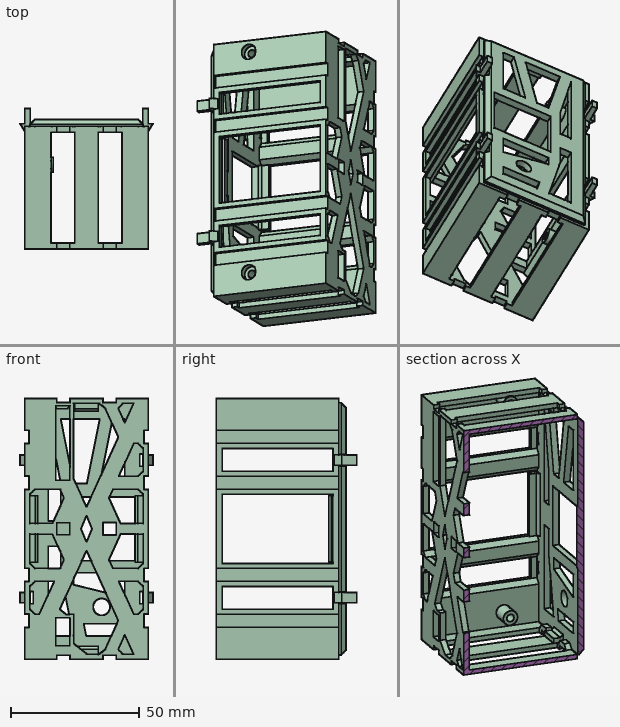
import cadquery as cq

FRAME_WIDTH = 48.3
FRAME_DEPTH = 48.0
FRAME_HEIGHT = 102.0
WALL = 2.0
PLATE = 2.5
HALF_WIDTH = FRAME_WIDTH / 2
HALF_HEIGHT = FRAME_HEIGHT / 2
CAVITY_HALF_WIDTH = HALF_WIDTH - WALL
CAVITY_HALF_HEIGHT = HALF_HEIGHT - WALL

GROOVE_WIDTH = 5.1
GROOVE_DEPTH = 1.6
RIDGE_RISE = 2.0
RAIL_BASE = GROOVE_WIDTH + 2 * RIDGE_RISE
SIDE_RAIL_Z = (18.0, 35.9)
END_GROOVE_X = 9.0
END_RIDGE_X = 9.5
END_RIDGE_CREST = 4.2

BACK_MARGIN = 2.4
WINDOW_LENGTH = FRAME_DEPTH - PLATE - BACK_MARGIN
WINDOW_CENTRE_Y = PLATE + WINDOW_LENGTH / 2
END_SLOT_X = 9.2
END_SLOT_WIDTH = 9.2

STRUT_SLOPE = 0.455
V_OFFSET = 3.9
OUTER_OFFSET = 3.3
MIDDLE_OFFSET = 14.3
V_SIDE_OFFSET = 28.7
CORNER_OFFSET = 33.8
NECK_Z = 47.1
V_TOP_HALF_WIDTH = 4.8
DIAMOND_HALF_WIDTH = 2.1
DIAMOND_HALF_HEIGHT = 5.05
CROSSBAR_HALF_HEIGHT = 2.1
SQUARE_HEIGHT = 4.8

CLOSED_EDGE_X = -5.0
CLOSED_LEFT_X = -14.0
UPPER_CLOSED_Z = 19.0
LOWER_CLOSED_Z = -33.4
LOWER_EDGE_END_Z = -44.8
BEVEL_END_X = -7.9
BEVEL_SLOPE = 0.79
UPRIGHT_SLOT_X = (-12.0, -6.5)
UPPER_SLOT_Z = (19.0, 48.1)
LOWER_SLOT_Z = (-45.7, -34.8)

SCREW_Y = 33.0
SCREW_Z = (-42.9, 46.4)
SCREW_HEAD_DIAMETER = 6.0
SCREW_HEAD_DEPTH = 3.0
SCREW_DIAMETER = 3.0
BOSS_DIAMETER = 6.0
BOSS_END_X = -12.9

CLIP_Z = 26.85
CLIP_HEIGHT = 4.1
CLIP_THICKNESS = 2.25
CLIP_TOP_Y = 55.0
BARB_TIP_X = 26.0
BARB_TOP_Y = FRAME_DEPTH + 1.1
BARB_LOW_Y = FRAME_DEPTH - 1.9

LID_HALF_WIDTH = 22.1
LID_HALF_HEIGHT = 49.3
LID_THICKNESS = 2.75
LID_BACK_Y = FRAME_DEPTH + LID_THICKNESS
LID_CHAMFER = 1.95
CLIP_SLOT_HEIGHT = 4.7
CLIP_SLOT_X = 20.8

BORDER_X = 14.9
LID_HIGH_Z = 42.9
LID_LOW_Z = -41.8
SPINE_LEFT_X = -10.1
SPINE_RIGHT_X = -5.0
LID_STRUT_SLOPE = 0.2
UPPER_STRUT_FOOT_Z = 17.8
RIGHT_STRUT_FOOT_X = (0.1, 5.2)
LOWER_STRUT_HEAD_Z = -17.2
LEFT_BRIDGE_Z = (-6.8, 3.1)
MIDDLE_OPENING_X = (-6.0, 18.9)
MIDDLE_OPENING_HALF_HEIGHT = 12.4
HOLE_PANEL_LEFT_Z = -21.8
HOLE_PANEL_RIGHT_Z = -26.7
HOLE_PANEL_LOW_Z = -37.1
LID_HOLE_X = 5.9
LID_HOLE_Z = -30.5
LID_HOLE_DIAMETER = 6.5

ARM_THICKNESS = 2.0
ARM_TIP_Y = FRAME_DEPTH - 4.0
ARM_GUSSET = 1.15
LUG_REACH = 0.5
LUG_PEAK_Y = ARM_TIP_Y + 0.95
SIDE_ARM_LENGTH = 26.0
END_ARM_LENGTH = 9.2


def prism(points, y_start, y_end):
    """Extrude an (x, z) outline along Y."""
    outline = cq.Workplane("XZ", origin=(0, y_start, 0)).polyline(points).close()
    return outline.extrude(y_start - y_end)


def box(x, y, z):
    """Box spanning three ranges, each given by its two ends in either order."""
    corner = (min(x), min(y), min(z))
    size = (abs(x[1] - x[0]), abs(y[1] - y[0]), abs(z[1] - z[0]))
    return cq.Workplane().box(*size, centered=False).translate(corner)


def flip_x(points):
    return [(-x, z) for x, z in points]


def flip_z(points):
    return [(x, -z) for x, z in points]


FULL_DEPTH = (0, FRAME_DEPTH)


def groove_profile(centre):
    """Corners as (position along the wall, depth below the outer face)."""
    low = centre - GROOVE_WIDTH / 2
    high = centre + GROOVE_WIDTH / 2
    return [(low, 0), (high, 0), (high, GROOVE_DEPTH), (low, GROOVE_DEPTH)]


def ridge_profile(centre, crest):
    half_base = crest / 2 + RIDGE_RISE
    return [
        (centre - half_base, WALL),
        (centre + half_base, WALL),
        (centre + crest / 2, WALL + RIDGE_RISE),
        (centre - crest / 2, WALL + RIDGE_RISE),
    ]


def along_side_wall(profile, side):
    return prism([(side * (HALF_WIDTH - d), a) for a, d in profile], *FULL_DEPTH)


def along_end_wall(profile, end):
    return prism([(a, end * (HALF_HEIGHT - d)) for a, d in profile], *FULL_DEPTH)


def corner_block(side, end):
    """Thick stretch of side wall between the outermost rail and the end wall."""
    x = (side * (HALF_WIDTH - WALL - RIDGE_RISE), side * (HALF_WIDTH - WALL))
    return box(x, FULL_DEPTH, (end * (SIDE_RAIL_Z[1] + GROOVE_WIDTH / 2), end * HALF_HEIGHT))


def make_shell():
    shell = box((-HALF_WIDTH, HALF_WIDTH), FULL_DEPTH, (-HALF_HEIGHT, HALF_HEIGHT))
    cavity = box(
        (-CAVITY_HALF_WIDTH, CAVITY_HALF_WIDTH),
        (PLATE, FRAME_DEPTH),
        (-CAVITY_HALF_HEIGHT, CAVITY_HALF_HEIGHT),
    )
    shell = shell.cut(cavity)
    for first in (-1, 1):
        for second in (-1, 1):
            shell = shell.union(corner_block(first, second))
            for rail_z in SIDE_RAIL_Z:
                ridge = ridge_profile(second * rail_z, GROOVE_WIDTH)
                shell = shell.union(along_side_wall(ridge, first))
                shell = shell.cut(along_side_wall(groove_profile(second * rail_z), first))
            end_ridge = ridge_profile(second * END_RIDGE_X, END_RIDGE_CREST)
            shell = shell.union(along_end_wall(end_ridge, first))
            shell = shell.cut(along_end_wall(groove_profile(second * END_GROOVE_X), first))
    return shell


def cut_windows(body):
    """Side windows fill the gaps between rails; end slots follow the end grooves."""
    middle_height = 2 * SIDE_RAIL_Z[0] - RAIL_BASE
    outer_height = SIDE_RAIL_Z[1] - SIDE_RAIL_Z[0] - RAIL_BASE
    outer_z = sum(SIDE_RAIL_Z) / 2
    for z, height in ((0, middle_height), (outer_z, outer_height), (-outer_z, outer_height)):
        window = cq.Workplane().box(2 * FRAME_WIDTH, WINDOW_LENGTH, height)
        body = body.cut(window.translate((0, WINDOW_CENTRE_Y, z)))
    for x in (-END_SLOT_X, END_SLOT_X):
        slot = cq.Workplane().box(END_SLOT_WIDTH, WINDOW_LENGTH, 2 * FRAME_HEIGHT)
        body = body.cut(slot.translate((x, WINDOW_CENTRE_Y, 0)))
    return body


def rising(offset, z):
    return (offset + STRUT_SLOPE * z, z)


def falling(offset, z):
    return (offset - STRUT_SLOPE * z, z)


def crossing(rising_offset, falling_offset):
    """Point where a rising and a falling strut edge meet."""
    return rising(rising_offset, (falling_offset - rising_offset) / (2 * STRUT_SLOPE))


def plate_cutter(points):
    return prism(points, 0, PLATE)


def v_opening():
    """Large opening above the crossing of the struts, before its left side is closed."""
    right_half = [
        (0, V_OFFSET / STRUT_SLOPE),
        crossing(-V_OFFSET, V_SIDE_OFFSET),
        falling(V_SIDE_OFFSET, NECK_Z),
        (V_TOP_HALF_WIDTH, CAVITY_HALF_HEIGHT),
    ]
    return right_half + flip_x(right_half[:0:-1])


def corner_triangle():
    neck = falling(CORNER_OFFSET, NECK_Z)
    return [
        crossing(-V_OFFSET, CORNER_OFFSET),
        rising(-V_OFFSET, CAVITY_HALF_HEIGHT),
        (neck[0] + CAVITY_HALF_HEIGHT - NECK_Z, CAVITY_HALF_HEIGHT),
        neck,
    ]


def rail_gap_opening():
    """Opening beside the outer window; its bevels follow the ridge flanks."""
    low = SIDE_RAIL_Z[0] + GROOVE_WIDTH / 2
    high = SIDE_RAIL_Z[1] - GROOVE_WIDTH / 2
    return [
        rising(OUTER_OFFSET, low),
        (CAVITY_HALF_WIDTH - RIDGE_RISE, low),
        (CAVITY_HALF_WIDTH, low + RIDGE_RISE),
        (CAVITY_HALF_WIDTH, high - RIDGE_RISE),
        (CAVITY_HALF_WIDTH - RIDGE_RISE, high),
        rising(OUTER_OFFSET, high),
    ]


def middle_opening():
    """Opening beside the middle window, above the central crossbar."""
    high = SIDE_RAIL_Z[0] - GROOVE_WIDTH / 2
    return [
        falling(MIDDLE_OFFSET, CROSSBAR_HALF_HEIGHT),
        (CAVITY_HALF_WIDTH, CROSSBAR_HALF_HEIGHT),
        (CAVITY_HALF_WIDTH, high - RIDGE_RISE),
        (CAVITY_HALF_WIDTH - RIDGE_RISE, high),
        rising(OUTER_OFFSET, high),
        crossing(OUTER_OFFSET, MIDDLE_OFFSET),
    ]


def diamond():
    return [
        (DIAMOND_HALF_WIDTH, 0),
        (0, DIAMOND_HALF_HEIGHT),
        (-DIAMOND_HALF_WIDTH, 0),
        (0, -DIAMOND_HALF_HEIGHT),
    ]


def upper_v_cutter():
    closed = box((CLOSED_LEFT_X, CLOSED_EDGE_X), (0, PLATE), (UPPER_CLOSED_Z, HALF_HEIGHT))
    return plate_cutter(v_opening()).cut(closed)


def lower_v_cutter():
    bottom_z = -CAVITY_HALF_HEIGHT
    closed = [
        (CLOSED_LEFT_X, LOWER_CLOSED_Z + (BEVEL_END_X - CLOSED_LEFT_X) * BEVEL_SLOPE),
        (BEVEL_END_X, LOWER_CLOSED_Z),
        (CLOSED_EDGE_X, LOWER_CLOSED_Z),
        (CLOSED_EDGE_X, LOWER_EDGE_END_Z),
        (CLOSED_EDGE_X + (LOWER_EDGE_END_Z - bottom_z) / BEVEL_SLOPE, bottom_z),
        (CLOSED_LEFT_X, bottom_z),
    ]
    return plate_cutter(flip_z(v_opening())).cut(plate_cutter(closed))


def cut_front_plate(body):
    triangle = corner_triangle()
    gap = rail_gap_opening()
    middle = middle_opening()
    outlines = [
        diamond(),
        triangle,
        flip_z(triangle),
        gap,
        flip_z(gap),
        flip_x(flip_z(gap)),
        middle,
        flip_z(middle),
        flip_x(middle),
        flip_x(flip_z(middle)),
    ]
    for outline in outlines:
        body = body.cut(plate_cutter(outline))
    body = body.cut(upper_v_cutter()).cut(lower_v_cutter())
    for x in (-END_GROOVE_X, END_GROOVE_X):
        square = cq.Workplane().box(GROOVE_WIDTH, PLATE, SQUARE_HEIGHT)
        body = body.cut(square.translate((x, PLATE / 2, 0)))
    for z_range in (UPPER_SLOT_Z, LOWER_SLOT_Z):
        body = body.cut(box(UPRIGHT_SLOT_X, (0, PLATE), z_range))
    return body


def add_screw_bosses(body):
    boss_length = HALF_WIDTH + BOSS_END_X
    for z in SCREW_Z:
        on_wall = cq.Workplane("YZ", origin=(-HALF_WIDTH, SCREW_Y, z))
        body = body.union(on_wall.circle(BOSS_DIAMETER / 2).extrude(boss_length))
        body = body.cut(on_wall.circle(SCREW_DIAMETER / 2).extrude(boss_length))
        body = body.cut(on_wall.circle(SCREW_HEAD_DIAMETER / 2).extrude(SCREW_HEAD_DEPTH))
    return body


def add_clips(body):
    """Upright legs with an outward barb, in pairs on both side walls."""
    profile = [
        (CAVITY_HALF_WIDTH, BARB_LOW_Y),
        (HALF_WIDTH, BARB_LOW_Y),
        (BARB_TIP_X, BARB_TOP_Y),
        (HALF_WIDTH, BARB_TOP_Y),
        (HALF_WIDTH, CLIP_TOP_Y),
        (HALF_WIDTH - CLIP_THICKNESS, CLIP_TOP_Y),
        (HALF_WIDTH - CLIP_THICKNESS, FRAME_DEPTH),
        (CAVITY_HALF_WIDTH, FRAME_DEPTH),
    ]
    for z in (-CLIP_Z, CLIP_Z):
        outline = cq.Workplane("XY", origin=(0, 0, z)).polyline(profile).close()
        clip = outline.extrude(CLIP_HEIGHT / 2, both=True)
        body = body.union(clip).union(clip.mirror("YZ"))
    return body


def make_frame():
    body = cut_windows(make_shell())
    body = cut_front_plate(body)
    body = add_screw_bosses(body)
    return add_clips(body)


def lid_opening_outlines():
    upper_run = LID_STRUT_SLOPE * (LID_HIGH_Z - UPPER_STRUT_FOOT_Z)
    lower_run = LID_STRUT_SLOPE * (LOWER_STRUT_HEAD_Z - LID_LOW_Z)
    panel_run = LID_STRUT_SLOPE * (LOWER_STRUT_HEAD_Z - HOLE_PANEL_LOW_Z)
    foot_left, foot_right = RIGHT_STRUT_FOOT_X
    bridge_low, bridge_high = LEFT_BRIDGE_Z
    upper_left = [
        (SPINE_LEFT_X, UPPER_STRUT_FOOT_Z),
        (SPINE_LEFT_X, bridge_high),
        (-BORDER_X, bridge_high),
        (-BORDER_X, LID_HIGH_Z),
    ]
    upper_middle = [
        (SPINE_RIGHT_X - upper_run, LID_HIGH_Z),
        (foot_left + upper_run, LID_HIGH_Z),
        (foot_left, UPPER_STRUT_FOOT_Z),
        (SPINE_RIGHT_X, UPPER_STRUT_FOOT_Z),
    ]
    upper_right = [
        (foot_right + upper_run, LID_HIGH_Z),
        (BORDER_X, LID_HIGH_Z),
        (BORDER_X, UPPER_STRUT_FOOT_Z),
        (foot_right, UPPER_STRUT_FOOT_Z),
    ]
    middle_left_x, middle_right_x = MIDDLE_OPENING_X
    middle = [
        (middle_left_x, MIDDLE_OPENING_HALF_HEIGHT),
        (middle_right_x, MIDDLE_OPENING_HALF_HEIGHT),
        (middle_right_x, -MIDDLE_OPENING_HALF_HEIGHT),
        (middle_left_x, -MIDDLE_OPENING_HALF_HEIGHT),
    ]
    lower_left = [
        (-BORDER_X, bridge_low),
        (SPINE_LEFT_X, bridge_low),
        (SPINE_LEFT_X, LOWER_STRUT_HEAD_Z),
        (SPINE_LEFT_X + lower_run, LID_LOW_Z),
        (-BORDER_X, LID_LOW_Z),
    ]
    above_hole_panel = [
        (SPINE_RIGHT_X, LOWER_STRUT_HEAD_Z),
        (BORDER_X, LOWER_STRUT_HEAD_Z),
        (BORDER_X, HOLE_PANEL_RIGHT_Z),
        (SPINE_RIGHT_X, HOLE_PANEL_LEFT_Z),
    ]
    below_hole_panel = [
        (SPINE_RIGHT_X + panel_run, HOLE_PANEL_LOW_Z),
        (BORDER_X, HOLE_PANEL_LOW_Z),
        (BORDER_X, LID_LOW_Z),
        (SPINE_RIGHT_X + lower_run, LID_LOW_Z),
    ]
    return [
        upper_left,
        upper_middle,
        upper_right,
        middle,
        lower_left,
        above_hole_panel,
        below_hole_panel,
    ]


def make_lid_plate():
    plate = box(
        (-LID_HALF_WIDTH, LID_HALF_WIDTH),
        (FRAME_DEPTH, LID_BACK_Y),
        (-LID_HALF_HEIGHT, LID_HALF_HEIGHT),
    )
    plate = plate.faces(">Y").edges().chamfer(LID_CHAMFER)
    for outline in lid_opening_outlines():
        plate = plate.cut(prism(outline, FRAME_DEPTH, LID_BACK_Y))
    hole = cq.Workplane("XZ", origin=(LID_HOLE_X, FRAME_DEPTH, LID_HOLE_Z))
    plate = plate.cut(hole.circle(LID_HOLE_DIAMETER / 2).extrude(-LID_THICKNESS))
    for side in (-1, 1):
        for z in (-CLIP_Z, CLIP_Z):
            z_range = (z - CLIP_SLOT_HEIGHT / 2, z + CLIP_SLOT_HEIGHT / 2)
            x_range = (side * CLIP_SLOT_X, side * HALF_WIDTH)
            plate = plate.cut(box(x_range, (FRAME_DEPTH, LID_BACK_Y), z_range))
    return plate


def make_arm(outer, length, lug):
    """Arm with its outer side at X = outer, centred on Z = 0; lug lists its outer lug points."""
    inner = outer - ARM_THICKNESS
    profile = [
        (outer, FRAME_DEPTH),
        *lug,
        (outer, ARM_TIP_Y),
        (inner, ARM_TIP_Y),
        (inner, FRAME_DEPTH - ARM_GUSSET),
        (inner - ARM_GUSSET, FRAME_DEPTH),
    ]
    return cq.Workplane("XY").polyline(profile).close().extrude(length / 2, both=True)


def make_lid():
    side_lug = [
        (LID_HALF_WIDTH, LUG_PEAK_Y + LUG_REACH),
        (LID_HALF_WIDTH + LUG_REACH, LUG_PEAK_Y),
    ]
    side_arm = make_arm(LID_HALF_WIDTH, SIDE_ARM_LENGTH, side_lug)
    end_arm = make_arm(CAVITY_HALF_HEIGHT, END_ARM_LENGTH, [])
    body = make_lid_plate()
    for angle in (0, 180):
        body = body.union(side_arm.rotate((0, 0, 0), (0, 1, 0), angle))
        body = body.union(end_arm.rotate((0, 0, 0), (0, 1, 0), angle + 90))
    return body


frame = make_frame()
lid = make_lid()
result = cq.Compound.makeCompound([frame.val(), lid.val()])